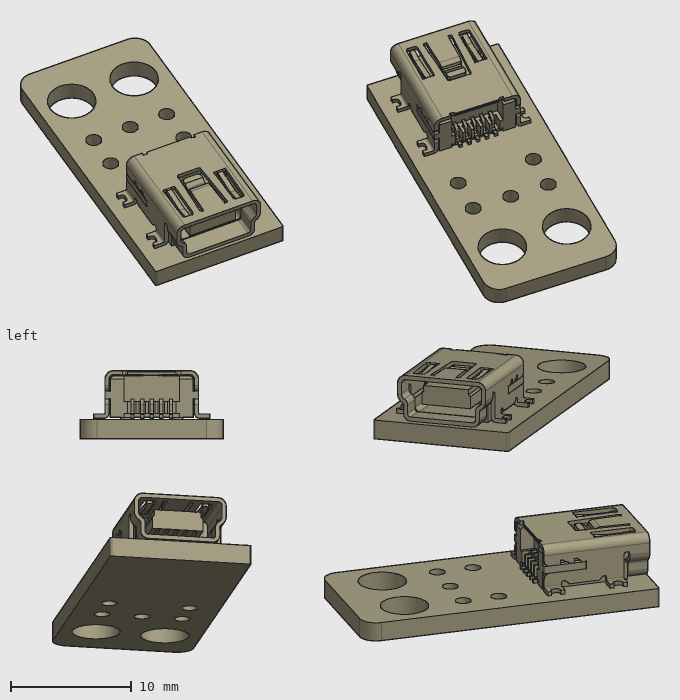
import cadquery as cq
import math


BOARD_LENGTH = 25.65
BOARD_WIDTH = 11.85
BOARD_TOP = 1.62
REAR_CORNER_RADIUS = 1.4
FRONT_CORNER_RADIUS = 0.13
MOUNT_HOLE_DIAMETER = 4.0
MOUNT_HOLE_X = 4.45
MOUNT_HOLE_Y = 2.9
WIRE_HOLE_DIAMETER = 1.3
WIRE_HOLE_REAR_X = 9.4
WIRE_HOLE_FRONT_X = 12.5
WIRE_HOLE_Y = 3.39

SHELL_REAR = 16.3
SHELL_FRONT = 25.5
SHELL_TOP = 5.65
SHELL_HALF_WIDTH = 3.87
SHEET = 0.35
SHELL_RADIUS = 0.72
SOLDER_GAP = 0.08
FOOT_BOTTOM = BOARD_TOP + SOLDER_GAP
FOOT_TOP = FOOT_BOTTOM + SHEET
FOOT_HALF_SPAN = 4.8
FOOT_BEND_RADIUS = 0.1
FOOT_LENGTH = 1.51
FRONT_FOOT_X = 21.73
BODY_FRONT = FRONT_FOOT_X + FOOT_LENGTH
FOOT_NOTCH_WIDTH = 0.82
FOOT_NOTCH_DEPTH = 0.5
FOOT_NOTCH_RADIUS = 0.28
RELIEF_TOP = 2.5
RELIEF_LAND = 0.3
RELIEF_RADIUS = 0.18

TUBE_BOTTOM = 1.77
TUBE_HALF_WIDTH = 3.33
TUBE_CORNER_RADIUS = 0.62
STEP_TOP = 4.03
STEP_BOTTOM = 3.1
STEP_OUTER_RADIUS = 0.85
SLIT_WIDTH = 0.51
SLIT_TOP = 4.35
SLIT_RADIUS = 0.23
TUBE_REAR = BODY_FRONT + SLIT_WIDTH

RIB_BOTTOM = 3.3
RIB_TOP = 3.95
RIB_FRONT = 19.9
RIB_CLEARANCE = 0.08
SLOT_ENTRY_RADIUS = 0.45
BARB_TOP = 4.33
BARB_LAND = 0.18
BARBS = [(17.72, 18.62), (18.93, 19.62)]

ROOF_TAB_HALF_WIDTH = 1.98
ROOF_TAB_SETBACK = 0.08
ROOF_LIP_HEIGHT = 0.13
ROOF_LIP_LENGTH = 0.08
ROOF_NOTCH_WIDTH = 0.44
ROOF_NOTCH_DEPTH = 0.25
ROOF_NOTCH_RADIUS = 0.2

LATCH_SLIT_REAR = 19.95
LATCH_SLIT_FRONT = 24.65
LATCH_SLIT_REAR_HALF = 1.05
LATCH_SLIT_FRONT_HALF = 1.28
LATCH_SLIT_RADIUS = 0.13
LATCH_TIP = 20.42
LATCH_TIP_HALF = 0.82
LATCH_TIP_CHAMFER = 0.18
LATCH_ROOT_HALF_REAR = 0.9
LATCH_ROOT_HALF_FRONT = 0.97
LATCH_BEND_START = 22.15
LATCH_BEND_END = 21.73
LATCH_BEND_DROP = 0.18
LATCH_FLANK_END = 21.65
LATCH_FLANK_DROP = 0.38
LATCH_VALLEY_X = 21.5
LATCH_VALLEY_DROP = 0.45
LATCH_RISE_START = 21.35
LATCH_RISE_START_DROP = 0.4
LATCH_RISE_END = 20.98
LATCH_TIP_DROP = 0.15

SPRING_Y = 2.35
SPRING_WIDTH = 0.45
SPRING_SLOT_REAR = 21.0
SPRING_SLOT_REAR_HALF = 0.55
SPRING_SLOT_FRONT_HALF = 0.5
SPRING_SLOT_RADIUS = 0.2
SPRING_ROOT = 21.1
SPRING_ROOT_DROP = 0.1
SPRING_LOW_X = 23.42
SPRING_TIP_X = 24.47
SPRING_DEPTH = 0.33
SPRING_TIP_DROP = 0.18

HOUSING_BOTTOM = TUBE_BOTTOM
HOUSING_TOP = 5.23
HOUSING_HALF_WIDTH = 3.44
HOUSING_FRONT = 23.67
HOUSING_RADIUS = 0.35
HOUSING_CHAMFER = 0.3
CAVITY_REAR = 19.75
CAVITY_HALF_WIDTH = TUBE_HALF_WIDTH - SHEET
CAVITY_FLOOR = TUBE_BOTTOM + SHEET
CAVITY_RADIUS = 0.38
TRAY_WALL_TOP = 3.3
TONGUE_HALF_WIDTH = 2.13
TONGUE_CHAMFER = 0.15
TONGUE_SHOULDER = 4.18
TONGUE_FRONT = 24.4
TONGUE_TOP = 4.62
RECESS_HALF_WIDTH = 2.3
RECESS_FLOOR = 3.1
RECESS_FRONT = 17.45
COMB_HALF_WIDTH = 2.0
COMB_FLOOR = 2.08
COMB_FRONT = 17.08
SILL_SETBACK = 0.13
FIN_WIDTH = 0.25
PEG_DIAMETER = 0.9
PEG_X = 19.55
PEG_Y = 2.13

PIN_COUNT = 5
PIN_PITCH = 0.8
PIN_WIDTH = 0.28
PIN_THICKNESS = 0.3
PIN_TAIL_END = 16.05
PIN_FRONT = 24.1
PIN_TOP = 3.3
PIN_UPPER_BEND = 0.15
PIN_LOWER_BEND = 0.3
PIN_LEG_FRONT = COMB_FRONT

SIDES = (-1, 1)


def block(x0, x1, y0, y1, z0, z1):
    """Rectangular block between two opposite corners."""
    return cq.Workplane("XY").box(x1 - x0, y1 - y0, z1 - z0, centered=False).translate((x0, y0, z0))


def make_board():
    board = block(0, BOARD_LENGTH, -BOARD_WIDTH / 2, BOARD_WIDTH / 2, 0, BOARD_TOP)
    board = board.edges("|Z and <X").fillet(REAR_CORNER_RADIUS)
    board = board.edges("|Z and >X").fillet(FRONT_CORNER_RADIUS)
    mount_points = [(MOUNT_HOLE_X, side * MOUNT_HOLE_Y) for side in SIDES]
    wire_points = [(WIRE_HOLE_REAR_X, 0)]
    wire_points += [(x, side * WIRE_HOLE_Y) for x in (WIRE_HOLE_REAR_X, WIRE_HOLE_FRONT_X) for side in SIDES]
    for points, diameter in ((mount_points, MOUNT_HOLE_DIAMETER), (wire_points, WIRE_HOLE_DIAMETER)):
        holes = cq.Workplane("XY").pushPoints(points).circle(diameter / 2).extrude(BOARD_TOP)
        board = board.cut(holes)
    return board


def make_shell_body():
    """Inverted-U cover with its side walls bent outward into the feet."""
    inner = SHELL_HALF_WIDTH - SHEET
    half_outline = [
        (0, SHELL_TOP),
        (SHELL_HALF_WIDTH, SHELL_TOP),
        (SHELL_HALF_WIDTH, FOOT_TOP),
        (FOOT_HALF_SPAN, FOOT_TOP),
        (FOOT_HALF_SPAN, FOOT_BOTTOM),
        (inner, FOOT_BOTTOM),
        (inner, SHELL_TOP - SHEET),
        (0, SHELL_TOP - SHEET),
    ]
    length = BODY_FRONT - SHELL_REAR
    half = cq.Workplane("YZ", origin=(SHELL_REAR, 0, 0)).polyline(half_outline).close().extrude(length)
    middle_x = (SHELL_REAR + BODY_FRONT) / 2

    def bend(solid, y, z, radius):
        edge = cq.selectors.NearestToPointSelector((middle_x, y, z))
        return solid.edges(edge).fillet(radius)

    half = bend(half, SHELL_HALF_WIDTH, SHELL_TOP, SHELL_RADIUS)
    half = bend(half, inner, SHELL_TOP - SHEET, SHELL_RADIUS - SHEET)
    half = bend(half, SHELL_HALF_WIDTH, FOOT_TOP, FOOT_BEND_RADIUS)
    half = bend(half, inner, FOOT_BOTTOM, FOOT_BEND_RADIUS + SHEET)
    return half.union(half.mirror("XZ"))


def tube_outline():
    """Mouth outline in YZ; each side steps inward through two tangent arcs."""
    step_in = SHELL_HALF_WIDTH - TUBE_HALF_WIDTH
    step_drop = STEP_TOP - STEP_BOTTOM
    turn = 2 * math.atan2(step_in, step_drop)
    inner_radius = step_drop / math.sin(turn) - STEP_OUTER_RADIUS

    def on_outer_arc(angle):
        y = SHELL_HALF_WIDTH - STEP_OUTER_RADIUS * (1 - math.cos(angle))
        return y, STEP_TOP - STEP_OUTER_RADIUS * math.sin(angle)

    def on_inner_arc(angle):
        y = TUBE_HALF_WIDTH + inner_radius * (1 - math.cos(angle))
        return y, STEP_BOTTOM + inner_radius * math.sin(angle)

    def corner_middle(y, z, radius, z_sign):
        inset = radius * (1 - math.sqrt(0.5))
        return y - inset, z - z_sign * inset

    half = (
        cq.Workplane("YZ", origin=(BODY_FRONT, 0, 0))
        .moveTo(0, SHELL_TOP)
        .lineTo(SHELL_HALF_WIDTH - SHELL_RADIUS, SHELL_TOP)
        .threePointArc(
            corner_middle(SHELL_HALF_WIDTH, SHELL_TOP, SHELL_RADIUS, 1),
            (SHELL_HALF_WIDTH, SHELL_TOP - SHELL_RADIUS),
        )
        .lineTo(SHELL_HALF_WIDTH, STEP_TOP)
        .threePointArc(on_outer_arc(turn / 2), on_outer_arc(turn))
        .threePointArc(on_inner_arc(turn / 2), on_inner_arc(0))
        .lineTo(TUBE_HALF_WIDTH, TUBE_BOTTOM + TUBE_CORNER_RADIUS)
        .threePointArc(
            corner_middle(TUBE_HALF_WIDTH, TUBE_BOTTOM, TUBE_CORNER_RADIUS, -1),
            (TUBE_HALF_WIDTH - TUBE_CORNER_RADIUS, TUBE_BOTTOM),
        )
        .lineTo(0, TUBE_BOTTOM)
    )
    return half.mirrorY()


def make_shell_tube():
    length = SHELL_FRONT - BODY_FRONT
    outside = tube_outline().extrude(length)
    inside = tube_outline().offset2D(-SHEET).extrude(length)
    slit = block(BODY_FRONT, TUBE_REAR, -SHELL_HALF_WIDTH, SHELL_HALF_WIDTH, 0, SLIT_TOP)
    slit = slit.edges("|Y and >Z").fillet(SLIT_RADIUS)
    return outside.cut(inside).cut(slit)


def cut_across(outline):
    """Closed XZ outline extended across the whole connector width."""
    return (
        cq.Workplane("XZ", origin=(0, FOOT_HALF_SPAN, 0))
        .polyline(outline)
        .close()
        .extrude(2 * FOOT_HALF_SPAN)
    )


def between_feet_cut():
    """Opening under the side wall, with a rounded relief notch next to each foot."""
    rear = SHELL_REAR + FOOT_LENGTH
    opening_top = FOOT_TOP + FOOT_BEND_RADIUS
    relief_rise = RELIEF_TOP - opening_top
    outline = [
        (rear, FOOT_BOTTOM),
        (rear, RELIEF_TOP),
        (rear + RELIEF_LAND, RELIEF_TOP),
        (rear + RELIEF_LAND + relief_rise, opening_top),
        (FRONT_FOOT_X - RELIEF_LAND - relief_rise, opening_top),
        (FRONT_FOOT_X - RELIEF_LAND, RELIEF_TOP),
        (FRONT_FOOT_X, RELIEF_TOP),
        (FRONT_FOOT_X, FOOT_BOTTOM),
    ]
    return cut_across(outline).edges("|Y and >Z").fillet(RELIEF_RADIUS)


def foot_notches():
    """Notches with rounded inner corners in the outer edges of the four feet."""
    centers = [
        (foot_x + FOOT_LENGTH / 2, side * FOOT_HALF_SPAN)
        for foot_x in (SHELL_REAR, FRONT_FOOT_X)
        for side in SIDES
    ]
    return (
        cq.Workplane("XY", origin=(0, 0, FOOT_BOTTOM))
        .pushPoints(centers)
        .rect(FOOT_NOTCH_WIDTH, 2 * FOOT_NOTCH_DEPTH)
        .extrude(SHEET)
        .edges("|Z")
        .fillet(FOOT_NOTCH_RADIUS)
    )


def rib_slot_cut():
    """Side slots open to the rear, with rounded entries and barb notches above."""
    slot_front = RIB_FRONT + RIB_CLEARANCE
    width = 2 * SHELL_HALF_WIDTH
    r = SLOT_ENTRY_RADIUS
    inset = r * (1 - math.sqrt(0.5))
    slot = (
        cq.Workplane("XZ", origin=(0, SHELL_HALF_WIDTH, 0))
        .moveTo(SHELL_REAR, RIB_BOTTOM - r)
        .threePointArc((SHELL_REAR + inset, RIB_BOTTOM - inset), (SHELL_REAR + r, RIB_BOTTOM))
        .lineTo(slot_front, RIB_BOTTOM)
        .lineTo(slot_front, RIB_TOP)
        .lineTo(SHELL_REAR + r, RIB_TOP)
        .threePointArc((SHELL_REAR + inset, RIB_TOP + inset), (SHELL_REAR, RIB_TOP + r))
        .close()
        .extrude(width)
    )
    for rear, front in BARBS:
        outline = [(rear, RIB_TOP), (rear, BARB_TOP), (rear + BARB_LAND, BARB_TOP), (front, RIB_TOP)]
        slot = slot.union(cut_across(outline))
    return slot


def roof_rear_cut():
    """Set-back middle of the rear roof edge, undercut below a lip, with a deeper notch at each end."""
    outer = ROOF_TAB_HALF_WIDTH + ROOF_NOTCH_WIDTH
    z0 = SHELL_TOP - SHEET
    cut = block(SHELL_REAR, SHELL_REAR + ROOF_TAB_SETBACK, -outer, outer, z0, SHELL_TOP)
    under_lip = SHELL_REAR + ROOF_TAB_SETBACK + ROOF_LIP_LENGTH
    cut = cut.union(block(SHELL_REAR, under_lip, -outer, outer, z0, SHELL_TOP - ROOF_LIP_HEIGHT))
    for side in SIDES:
        y0, y1 = sorted((side * ROOF_TAB_HALF_WIDTH, side * outer))
        notch = block(SHELL_REAR, SHELL_REAR + ROOF_NOTCH_DEPTH, y0, y1, z0, SHELL_TOP)
        inner_corner = cq.selectors.NearestToPointSelector(
            (SHELL_REAR + ROOF_NOTCH_DEPTH, side * ROOF_TAB_HALF_WIDTH, SHELL_TOP - SHEET / 2)
        )
        cut = cut.union(notch.edges(inner_corner).fillet(ROOF_NOTCH_RADIUS))
    return cut


def roof_opening(rear, front, rear_half, front_half, y=0):
    """Tapered opening through the roof."""
    outline = [(rear, y - rear_half), (front, y - front_half), (front, y + front_half), (rear, y + rear_half)]
    return cq.Workplane("XY", origin=(0, 0, SHELL_TOP - SHEET)).polyline(outline).close().extrude(SHEET)


def bent_strip(top_line, half_width, y=0):
    """Sheet strip whose upper face follows an XZ line."""
    under_line = [(x, z - SHEET) for x, z in reversed(top_line)]
    return (
        cq.Workplane("XZ", origin=(0, y + half_width, 0))
        .polyline(top_line + under_line)
        .close()
        .extrude(2 * half_width)
    )


def make_latch():
    """Latch tongue: flat root, arched bend, valley, and a raised chamfered tip."""
    tip_z = SHELL_TOP - LATCH_TIP_DROP
    top_line = [
        (LATCH_TIP, tip_z),
        (LATCH_RISE_END, tip_z),
        (LATCH_RISE_START, SHELL_TOP - LATCH_RISE_START_DROP),
        (LATCH_VALLEY_X, SHELL_TOP - LATCH_VALLEY_DROP),
        (LATCH_FLANK_END, SHELL_TOP - LATCH_FLANK_DROP),
        (LATCH_BEND_END, SHELL_TOP - LATCH_BEND_DROP),
    ]
    hook = bent_strip(top_line, LATCH_TIP_HALF)
    hook = hook.edges("|Z and <X").chamfer(LATCH_TIP_CHAMFER)

    run = LATCH_BEND_START - LATCH_BEND_END
    radius = (run**2 + LATCH_BEND_DROP**2) / (2 * LATCH_BEND_DROP)
    bend = (
        cq.Workplane("XZ", origin=(0, LATCH_ROOT_HALF_REAR, 0))
        .moveTo(LATCH_BEND_END, SHELL_TOP - LATCH_BEND_DROP)
        .radiusArc((LATCH_BEND_START, SHELL_TOP), radius)
        .lineTo(LATCH_BEND_START, SHELL_TOP - SHEET)
        .radiusArc((LATCH_BEND_END, SHELL_TOP - LATCH_BEND_DROP - SHEET), -radius)
        .close()
        .extrude(2 * LATCH_ROOT_HALF_REAR)
    )
    root = roof_opening(LATCH_BEND_START, LATCH_SLIT_FRONT, LATCH_ROOT_HALF_REAR, LATCH_ROOT_HALF_FRONT)
    return hook.union(bend).union(root)


def make_spring(y):
    """Contact spring: slopes down from its rear root, then lifts toward its free tip."""
    top_line = [
        (SPRING_SLOT_REAR, SHELL_TOP),
        (SPRING_ROOT, SHELL_TOP - SPRING_ROOT_DROP),
        (SPRING_LOW_X, SHELL_TOP - SPRING_DEPTH),
        (SPRING_TIP_X, SHELL_TOP - SPRING_TIP_DROP),
    ]
    return bent_strip(top_line, SPRING_WIDTH / 2, y)


def make_shell():
    shell = make_shell_body().union(make_shell_tube())
    for cut in (between_feet_cut(), foot_notches(), rib_slot_cut(), roof_rear_cut()):
        shell = shell.cut(cut)
    latch_slit = roof_opening(LATCH_SLIT_REAR, LATCH_SLIT_FRONT, LATCH_SLIT_REAR_HALF, LATCH_SLIT_FRONT_HALF)
    latch_slit = latch_slit.edges("|Z").fillet(LATCH_SLIT_RADIUS)
    shell = shell.cut(latch_slit).union(make_latch())
    for side in SIDES:
        y = side * SPRING_Y
        slot = roof_opening(
            SPRING_SLOT_REAR, LATCH_SLIT_FRONT, SPRING_SLOT_REAR_HALF, SPRING_SLOT_FRONT_HALF, y
        )
        slot = slot.edges("|Z and >X").fillet(SPRING_SLOT_RADIUS)
        shell = shell.cut(slot).union(make_spring(y))
    return shell


def make_pin(y):
    """Contact pin: solder tail, upright leg and long contact, bent from one flat strip."""
    tail_bottom = FOOT_BOTTOM
    tail_top = tail_bottom + PIN_THICKNESS
    leg_rear = PIN_LEG_FRONT - PIN_THICKNESS
    contact_bottom = PIN_TOP - PIN_THICKNESS
    upper_outer = PIN_UPPER_BEND + PIN_THICKNESS
    lower_outer = PIN_LOWER_BEND + PIN_THICKNESS
    return (
        cq.Workplane("XZ", origin=(0, y + PIN_WIDTH / 2, 0))
        .moveTo(PIN_TAIL_END, tail_bottom)
        .lineTo(PIN_LEG_FRONT - lower_outer, tail_bottom)
        .radiusArc((PIN_LEG_FRONT, tail_bottom + lower_outer), -lower_outer)
        .lineTo(PIN_LEG_FRONT, contact_bottom - PIN_UPPER_BEND)
        .radiusArc((PIN_LEG_FRONT + PIN_UPPER_BEND, contact_bottom), PIN_UPPER_BEND)
        .lineTo(PIN_FRONT, contact_bottom)
        .lineTo(PIN_FRONT, PIN_TOP)
        .lineTo(leg_rear + upper_outer, PIN_TOP)
        .radiusArc((leg_rear, PIN_TOP - upper_outer), -upper_outer)
        .lineTo(leg_rear, tail_top + PIN_LOWER_BEND)
        .radiusArc((leg_rear - PIN_LOWER_BEND, tail_top), PIN_LOWER_BEND)
        .lineTo(PIN_TAIL_END, tail_top)
        .close()
        .extrude(PIN_WIDTH)
    )


def mouth_cavity():
    """Tray interior open to the front, and the space above the tray walls."""
    w = CAVITY_HALF_WIDTH
    cavity = block(CAVITY_REAR, HOUSING_FRONT, -w, w, CAVITY_FLOOR, HOUSING_TOP)
    cavity = cavity.edges("|X and <Z").fillet(CAVITY_RADIUS)
    w = HOUSING_HALF_WIDTH
    return cavity.union(block(CAVITY_REAR, HOUSING_FRONT, -w, w, TRAY_WALL_TOP, HOUSING_TOP))


def rear_recess():
    """Stepped rear opening for the pins, with comb fins between them."""
    w = RECESS_HALF_WIDTH
    recess = block(SHELL_REAR, RECESS_FRONT, -w, w, RECESS_FLOOR, HOUSING_TOP)
    recess = recess.union(block(SHELL_REAR, SHELL_REAR + SILL_SETBACK, -w, w, HOUSING_BOTTOM, COMB_FLOOR))
    w = COMB_HALF_WIDTH
    comb = block(SHELL_REAR, COMB_FRONT, -w, w, COMB_FLOOR, RECESS_FLOOR)
    for i in range(PIN_COUNT - 1):
        y0 = (i - (PIN_COUNT - 2) / 2) * PIN_PITCH - FIN_WIDTH / 2
        comb = comb.cut(block(SHELL_REAR, COMB_FRONT, y0, y0 + FIN_WIDTH, COMB_FLOOR, RECESS_FLOOR))
    return recess.union(comb)


def rear_slope():
    """Wedge taken off the top rear edge."""
    c = HOUSING_CHAMFER
    corner = [(SHELL_REAR, HOUSING_TOP), (SHELL_REAR + c, HOUSING_TOP), (SHELL_REAR, HOUSING_TOP - c)]
    return cut_across(corner)


def make_tongue():
    """Contact carrier in the mouth, with sloped shoulders below a narrower ridge."""
    w = TONGUE_HALF_WIDTH
    tongue = block(CAVITY_REAR, TONGUE_FRONT, -w, w, PIN_TOP - PIN_THICKNESS, TONGUE_SHOULDER)
    tongue = tongue.edges("|X and >Z").chamfer(TONGUE_CHAMFER)
    w = TONGUE_HALF_WIDTH - TONGUE_CHAMFER
    return tongue.union(block(CAVITY_REAR, TONGUE_FRONT, -w, w, TONGUE_SHOULDER, TONGUE_TOP))


def make_housing(pins):
    w = HOUSING_HALF_WIDTH
    housing = block(SHELL_REAR, HOUSING_FRONT, -w, w, HOUSING_BOTTOM, HOUSING_TOP)
    housing = housing.edges("|X and >Z").fillet(HOUSING_RADIUS)
    housing = housing.cut(rear_slope())
    housing = housing.cut(mouth_cavity()).cut(rear_recess())
    housing = housing.union(make_tongue())
    for side in SIDES:
        y0, y1 = sorted((side * HOUSING_HALF_WIDTH, side * SHELL_HALF_WIDTH))
        housing = housing.union(block(SHELL_REAR, RIB_FRONT, y0, y1, RIB_BOTTOM, RIB_TOP))
    pegs = (
        cq.Workplane("XY", origin=(0, 0, BOARD_TOP))
        .pushPoints([(PEG_X, side * PEG_Y) for side in SIDES])
        .circle(PEG_DIAMETER / 2)
        .extrude(HOUSING_BOTTOM - BOARD_TOP)
    )
    housing = housing.union(pegs)
    for pin in pins:
        housing = housing.cut(pin)
    return housing


board = make_board()
shell = make_shell()
pins = [make_pin((i - (PIN_COUNT - 1) / 2) * PIN_PITCH) for i in range(PIN_COUNT)]
housing = make_housing(pins)

result = cq.Compound.makeCompound([board.val(), shell.val(), housing.val(), *[pin.val() for pin in pins]])